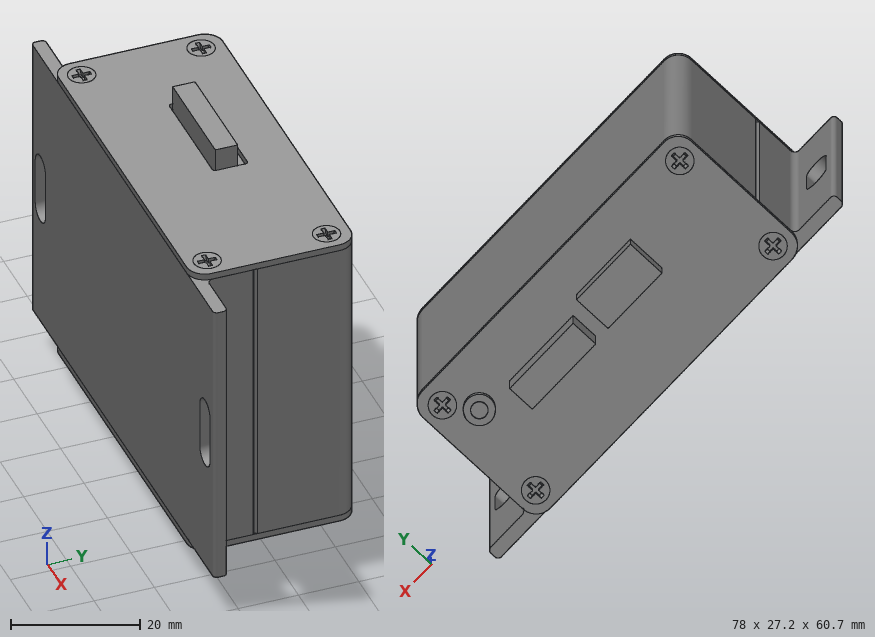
import cadquery as cq

housing_length = 50.0
housing_width = 60.5
housing_depth = 27.2
corner_radius = 3.0

flange_width = 78.0
flange_thickness = 2.25
flange_edge_radius = 0.7
flange_root_radius = 1.0
slot_width = 4.4
slot_length = 12.2
slot_spacing = 70.2
slot_z = housing_length / 2

groove_width = 0.75
groove_depth = groove_width / 2
groove_y = 10.2

cover_thickness = 1.1

screw_head_diameter = 4.4
screw_spacing_x = 53.5
screw_spacing_y = 19.8
screw_center_y = 13.5
recess_length = 3.0
recess_floor_length = 2.2
recess_arm_width = 0.65
recess_depth = 0.8

connector_base_y = 13.7
input_width = 18.2
input_depth = 3.7
input_height = 4.66
input_x = -4.83
small_output_width = 12.15
small_output_depth = 6.7
small_output_height = 4.3
small_output_x = -6.37
large_output_width = 14.3
large_output_depth = 4.8
large_output_height = 6.0
large_output_x = 9.64

window_side_gap = 0.45
window_lower_gap = 0.5
window_upper_gap = 1.6
window_corner_radius = 0.5

lamp_x = 23.2
lamp_y = 18.9
lamp_diameter = 5.0
lamp_height = 2.15
lamp_tip_diameter = 2.7
lamp_tip_height = 0.25


def box(width, depth, height, x, base_y, base_z):
    """Block centred on x that grows in +Y from base_y and in +Z from base_z."""
    block = cq.Workplane("XY").box(width, depth, height, centered=(True, False, False))
    return block.translate((x, base_y, base_z))


def cylinder(diameter, height, x, y, base_z):
    return cq.Workplane("XY").circle(diameter / 2).extrude(height).translate((x, y, base_z))


def screw_places():
    return [
        (side * screw_spacing_x / 2, screw_center_y + row * screw_spacing_y / 2)
        for side in (-1, 1)
        for row in (-1, 1)
    ]


def extrusion():
    """Rounded block with flange, slots and side grooves."""
    block = box(housing_width, housing_depth, housing_length, 0, 0, 0)
    block = block.edges("|Z and >Y").fillet(corner_radius)
    flange = box(flange_width, flange_thickness, housing_length, 0, 0, 0)
    flange = flange.edges("|Z").fillet(flange_edge_radius)
    body = block.union(flange)

    for side in (-1, 1):
        root = cq.selectors.NearestToPointSelector(
            (side * housing_width / 2, flange_thickness, housing_length / 2)
        )
        body = body.edges(root).fillet(flange_root_radius)

    slots = (
        cq.Workplane("XZ", origin=(0, 0, slot_z))
        .pushPoints([(-slot_spacing / 2, 0), (slot_spacing / 2, 0)])
        .slot2D(slot_length, slot_width, 90)
        .extrude(-flange_thickness)
    )
    body = body.cut(slots)

    for side in (-1, 1):
        wall_x = side * housing_width / 2
        groove = (
            cq.Workplane("XY")
            .moveTo(wall_x, groove_y - groove_width / 2)
            .lineTo(wall_x - side * groove_depth, groove_y)
            .lineTo(wall_x, groove_y + groove_width / 2)
            .close()
            .extrude(housing_length)
        )
        body = body.cut(groove)
    return body


def cross_recess():
    """Cross-shaped cutter with sloping arm ends, its mouth at Z = 0."""
    arm = (
        cq.Workplane("XZ")
        .moveTo(-recess_length / 2, 0)
        .lineTo(recess_length / 2, 0)
        .lineTo(recess_floor_length / 2, -recess_depth)
        .lineTo(-recess_floor_length / 2, -recess_depth)
        .close()
        .extrude(recess_arm_width / 2, both=True)
    )
    return arm.union(arm.rotate((0, 0, 0), (0, 0, 1), 90))


def screw_head():
    """Screw head standing on Z = 0."""
    head = cylinder(screw_head_diameter, cover_thickness, 0, 0, 0)
    return head.cut(cross_recess().translate((0, 0, cover_thickness)))


def build_housing():
    """Extrusion with the screw heads, connectors and lamp that stand on its end faces."""
    body = extrusion()
    upper_head = screw_head().translate((0, 0, housing_length))
    lower_head = screw_head().mirror("XY")
    for x, y in screw_places():
        body = body.union(upper_head.translate((x, y, 0)))
        body = body.union(lower_head.translate((x, y, 0)))

    body = body.union(
        box(input_width, input_depth, input_height, input_x, connector_base_y, housing_length)
    )
    return body.union(lower_fittings())


def lower_fittings():
    """Output connectors and lamp, below the lower end face."""
    small_output = box(
        small_output_width, small_output_depth, small_output_height,
        small_output_x, connector_base_y, -small_output_height,
    )
    large_output = box(
        large_output_width, large_output_depth, large_output_height,
        large_output_x, connector_base_y, -large_output_height,
    )
    lamp = cylinder(lamp_diameter, lamp_height, lamp_x, lamp_y, -lamp_height)
    tip = cylinder(
        lamp_tip_diameter, lamp_tip_height, lamp_x, lamp_y, -lamp_height - lamp_tip_height
    )
    return small_output.union(large_output).union(lamp.union(tip))


def cover_plate(base_z):
    """Rounded plate with the four screw holes."""
    plate = box(housing_width, housing_depth, cover_thickness, 0, 0, base_z)
    plate = plate.edges("|Z").fillet(corner_radius)
    for x, y in screw_places():
        plate = plate.cut(cylinder(screw_head_diameter, cover_thickness, x, y, base_z))
    return plate


def build_input_cover():
    window = box(
        input_width + 2 * window_side_gap,
        input_depth + window_lower_gap + window_upper_gap,
        cover_thickness,
        input_x,
        connector_base_y - window_lower_gap,
        housing_length,
    )
    window = window.edges("|Z").fillet(window_corner_radius)
    return cover_plate(housing_length).cut(window)


def build_output_cover():
    return cover_plate(-cover_thickness).cut(lower_fittings())


housing = build_housing()
input_cover = build_input_cover()
output_cover = build_output_cover()

result = cq.Compound.makeCompound([housing.val(), input_cover.val(), output_cover.val()])